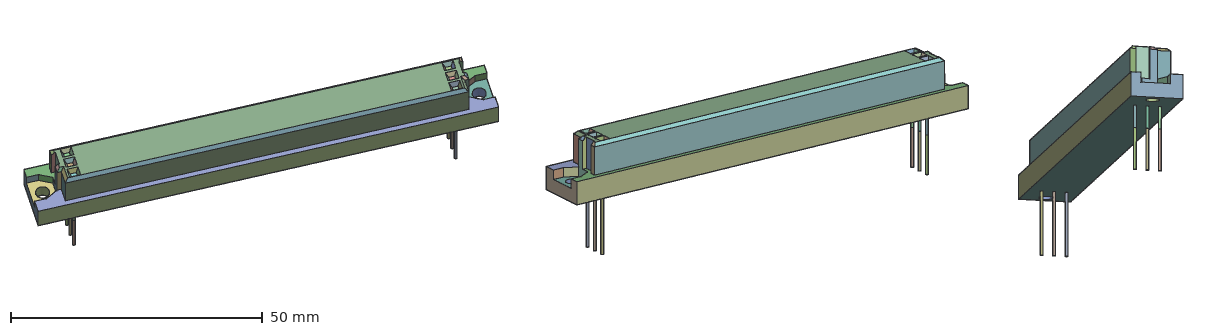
import cadquery as cq

FLANGE_LENGTH = 95.0
FLANGE_WIDTH = 10.6
FLANGE_HEIGHT = 4.9

TOWER_WIDTH = 8.55
TOWER_HEIGHT = 6.65
TOWER_END_Y = 42.5
END_STEP = 0.9
RIB_RIGHT_X = 1.3
TOP_CHAMFER = 0.7

NOTCH_LEFT_X = -3.0
NOTCH_RIGHT_X = -0.2

MOUNT_X = -0.3
MOUNT_Y = 45.0
MOUNT_HOLE_DIAMETER = 2.8
POCKET_DEPTH = 2.0
POCKET_WIDTH = 6.1

CONTACT_ROW_SPACING = 78.8
CONTACT_POSITIONS = 32
CONTACT_PITCH = CONTACT_ROW_SPACING / (CONTACT_POSITIONS - 1)
CONTACT_ROW_Y = CONTACT_ROW_SPACING / 2
CONTACT_XS = [-CONTACT_PITCH, 0, CONTACT_PITCH]

FUNNEL_TOP_X = 2.0
FUNNEL_TOP_Y = 2.3
FUNNEL_FLOOR_X = 0.8
FUNNEL_FLOOR_Y = 1.2
FUNNEL_DEPTH = 0.95

PIN_DIAMETER = 0.6
PIN_LENGTH = 13.0
UPPER_PIN_LENGTH = 4.6

ENDS = [-1, 1]
TOP_Z = FLANGE_HEIGHT + TOWER_HEIGHT
SHORT_END_Y = TOWER_END_Y - END_STEP


def flange():
    return cq.Workplane("XY").box(FLANGE_WIDTH, FLANGE_LENGTH, FLANGE_HEIGHT, centered=(True, True, False))


def tower():
    side_x = TOWER_WIDTH / 2
    outline = [
        (-side_x, -TOWER_END_Y),
        (RIB_RIGHT_X, -TOWER_END_Y),
        (RIB_RIGHT_X, -SHORT_END_Y),
        (side_x, -SHORT_END_Y),
        (side_x, SHORT_END_Y),
        (RIB_RIGHT_X, SHORT_END_Y),
        (RIB_RIGHT_X, TOWER_END_Y),
        (-side_x, TOWER_END_Y),
    ]
    block = cq.Workplane("XY").workplane(offset=FLANGE_HEIGHT).polyline(outline).close().extrude(TOWER_HEIGHT)
    return block.faces(">Z").chamfer(TOP_CHAMFER)


def end_notch(end):
    notch_width = NOTCH_RIGHT_X - NOTCH_LEFT_X
    return (
        cq.Workplane("XY")
        .workplane(offset=FLANGE_HEIGHT)
        .center((NOTCH_LEFT_X + NOTCH_RIGHT_X) / 2, end * (SHORT_END_Y + END_STEP / 2))
        .rect(notch_width, END_STEP)
        .extrude(TOWER_HEIGHT)
    )


def mounting_pocket(end):
    """Pocket open at the flange end that narrows towards the tower, from the hole's centre inwards."""
    wide = POCKET_WIDTH / 2
    narrow = RIB_RIGHT_X - MOUNT_X
    flange_end_y = FLANGE_LENGTH / 2
    outline = [
        (MOUNT_X - wide, end * flange_end_y),
        (MOUNT_X - wide, end * MOUNT_Y),
        (MOUNT_X - narrow, end * TOWER_END_Y),
        (MOUNT_X + narrow, end * TOWER_END_Y),
        (MOUNT_X + wide, end * MOUNT_Y),
        (MOUNT_X + wide, end * flange_end_y),
    ]
    floor_z = FLANGE_HEIGHT - POCKET_DEPTH
    return cq.Workplane("XY").workplane(offset=floor_z).polyline(outline).close().extrude(POCKET_DEPTH)


def mounting_hole(end):
    radius = MOUNT_HOLE_DIAMETER / 2
    return cq.Workplane("XY").center(MOUNT_X, end * MOUNT_Y).circle(radius).extrude(FLANGE_HEIGHT)


def contact_funnel(x, y):
    return (
        cq.Workplane("XY", origin=(x, y, TOP_Z))
        .rect(FUNNEL_TOP_X, FUNNEL_TOP_Y)
        .workplane(offset=-FUNNEL_DEPTH)
        .rect(FUNNEL_FLOOR_X, FUNNEL_FLOOR_Y)
        .loft()
    )


def make_housing():
    body = flange().union(tower())
    for end in ENDS:
        body = body.cut(end_notch(end))
        body = body.cut(mounting_pocket(end))
        body = body.cut(mounting_hole(end))
        for x in CONTACT_XS:
            body = body.cut(contact_funnel(x, end * CONTACT_ROW_Y))
    return body


def make_pin(x, y, top_z, length):
    """Round pin that hangs down from top_z."""
    return cq.Workplane("XY", origin=(x, y, top_z)).circle(PIN_DIAMETER / 2).extrude(-length)


housing = make_housing()
long_pins = [make_pin(x, CONTACT_ROW_Y, 0, PIN_LENGTH) for x in CONTACT_XS]
upper_pins = [make_pin(x, -CONTACT_ROW_Y, 0, UPPER_PIN_LENGTH) for x in CONTACT_XS]
lower_pins = [
    make_pin(x, -CONTACT_ROW_Y, -UPPER_PIN_LENGTH, PIN_LENGTH - UPPER_PIN_LENGTH) for x in CONTACT_XS
]

pins = long_pins + upper_pins + lower_pins
result = cq.Compound.makeCompound([housing.val(), *[pin.val() for pin in pins]])